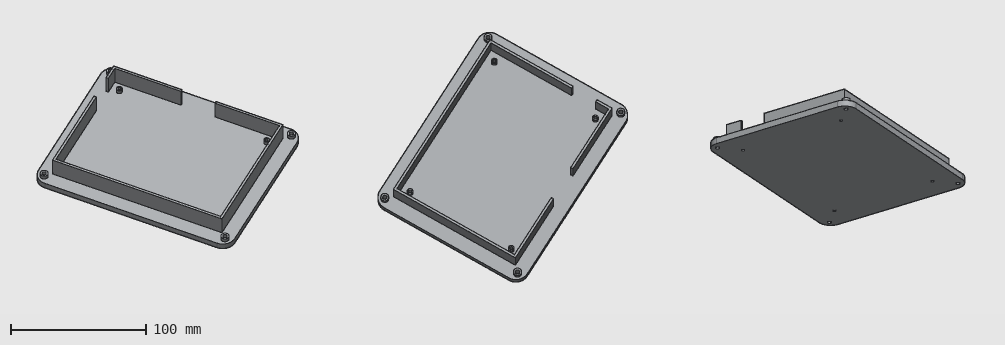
import cadquery as cq

plate_length = 160.8
plate_width = 127.5
plate_thickness = 5.0
corner_radius = 10.0

total_height = 20.0
wall_inset = 11.1
wall_thickness = 2.0
wall_height = total_height - plate_thickness

back_opening_start = 67.2
back_opening_end = 95.0
left_opening_start = 24.1
left_opening_end = 44.9

boss_inset = 6.5
boss_diameter = 6.0
boss_hole_diameter = 3.0
boss_height = 3.0

standoff_inset = 20.1
standoff_diameter = 4.3
standoff_hole_diameter = 2.3
standoff_height = 3.0


def corner_points(inset):
    """Four points at the same distance from both plate edges."""
    x = plate_length / 2 - inset
    y = plate_width / 2 - inset
    return [(-x, -y), (x, -y), (x, y), (-x, y)]


def wall_block(inset):
    """Rectangular block on the plate, reaching up to the wall top."""
    return (
        cq.Workplane("XY", origin=(0, 0, plate_thickness))
        .rect(plate_length - 2 * inset, plate_width - 2 * inset)
        .extrude(wall_height)
    )


def opening(x_start, x_end, y_start, y_end):
    """Full-height cutter that removes a stretch of wall."""
    return cq.Workplane("XY", origin=(x_start, y_start, plate_thickness)).box(
        x_end - x_start, y_end - y_start, wall_height, centered=False
    )


def add_hollow_posts(body, inset, diameter, hole_diameter, height):
    """Add a post near each corner, with a hole through post and plate."""
    points = corner_points(inset)
    top = plate_thickness + height
    posts = cq.Workplane("XY").pushPoints(points).circle(diameter / 2).extrude(top)
    holes = cq.Workplane("XY").pushPoints(points).circle(hole_diameter / 2).extrude(top)
    return body.union(posts).cut(holes)


plate = (
    cq.Workplane("XY")
    .rect(plate_length, plate_width)
    .extrude(plate_thickness)
    .edges("|Z")
    .fillet(corner_radius)
)

left_edge = -plate_length / 2
back_edge = plate_width / 2
wall_inner_inset = wall_inset + wall_thickness
wall = wall_block(wall_inset).cut(wall_block(wall_inner_inset))
back_opening = opening(
    left_edge + back_opening_start,
    left_edge + back_opening_end,
    back_edge - wall_inner_inset,
    back_edge - wall_inset,
)
left_opening = opening(
    left_edge + wall_inset,
    left_edge + wall_inner_inset,
    back_edge - left_opening_end,
    back_edge - left_opening_start,
)
wall = wall.cut(back_opening).cut(left_opening)

body = plate.union(wall)
body = add_hollow_posts(body, boss_inset, boss_diameter, boss_hole_diameter, boss_height)
result = add_hollow_posts(
    body, standoff_inset, standoff_diameter, standoff_hole_diameter, standoff_height
)